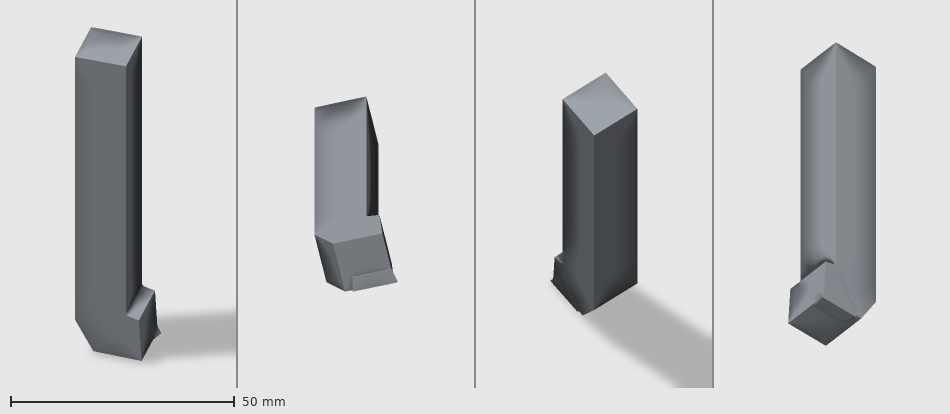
import cadquery as cq
import math

OVERALL_LENGTH = 81.35
TOOL_REACH = 16.35

SHANK_WIDTH = 11.95

CHAMFER_START_Z = 8.7
HEEL_X = 4.3
HEEL_Z = 1.0
TOE_X = 15.6
TOE_Z = 0.7
SHOULDER_X = 15.0
SHOULDER_Z = 11.8
SHOULDER_SLOPE = 14.0
SHOULDER_FILLET = 0.65

INSERT_INSCRIBED_DIAMETER = 6.35
INSERT_THICKNESS = 3.25
INSERT_CLEARANCE = 7.0
INSERT_TILT = 1.5
INSERT_PROUD = 0.1
NOSE_RADIUS = 0.4


def make_insert():
    """Triangle tapering away from its rake face, with rounded corners."""
    inradius = INSERT_INSCRIBED_DIAMETER / 2
    corner_distance = 2 * inradius
    nose_distance = 2 * (inradius - NOSE_RADIUS)
    nose_angle = math.radians(-30 - INSERT_TILT)

    center_x = TOOL_REACH - NOSE_RADIUS - nose_distance * math.cos(nose_angle)
    center_z = NOSE_RADIUS - nose_distance * math.sin(nose_angle)

    corners = []
    for index in range(3):
        angle = nose_angle + index * 2 * math.pi / 3
        corners.append((
            center_x + corner_distance * math.cos(angle),
            center_z + corner_distance * math.sin(angle),
        ))
    rake_y = SHANK_WIDTH + INSERT_PROUD
    return (
        cq.Workplane("XZ", origin=(0, rake_y, 0))
        .polyline(corners).close()
        .extrude(INSERT_THICKNESS, taper=INSERT_CLEARANCE)
        .edges("not(#Y)")
        .fillet(NOSE_RADIUS)
    )


def make_holder(insert):
    """Shank and head in one piece, with a pocket that fits the insert."""
    shoulder_drop = (SHOULDER_X - SHANK_WIDTH) * math.tan(math.radians(SHOULDER_SLOPE))
    inner_corner = (SHANK_WIDTH, SHOULDER_Z + shoulder_drop)
    body = (
        cq.Workplane("XZ")
        .polyline([
            (0, OVERALL_LENGTH),
            (0, CHAMFER_START_Z),
            (HEEL_X, HEEL_Z),
            (TOE_X, TOE_Z),
            (SHOULDER_X, SHOULDER_Z),
            inner_corner,
            (SHANK_WIDTH, OVERALL_LENGTH),
        ]).close()
        .extrude(-SHANK_WIDTH)
    )
    inner_edge = cq.selectors.NearestToPointSelector(
        (inner_corner[0], SHANK_WIDTH / 2, inner_corner[1])
    )
    return body.edges("|Y").edges(inner_edge).fillet(SHOULDER_FILLET).cut(insert)


insert = make_insert()
holder = make_holder(insert)
result = cq.Compound.makeCompound([holder.solids().val(), insert.solids().val()])